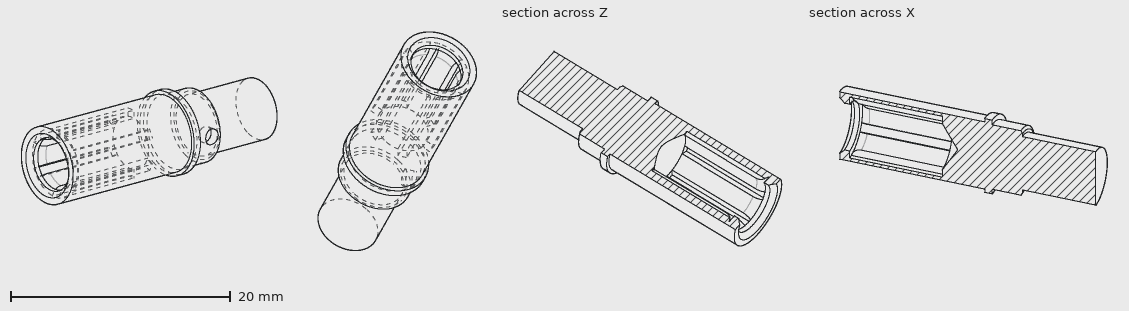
import cadquery as cq
import math


overall_length = 25.0
barrel_radius = 3.65
flange_radius = 4.0
collar_radius = 3.5
tail_radius = 2.9
flange_front = 14.15
flange_thickness = 0.75
flange_back = flange_front + flange_thickness
collar_length = 2.95
collar_back = flange_back + collar_length
collar_chamfer_axial = 0.15
collar_chamfer_radial = 0.3

mouth_radius = 3.0
mouth_chamfer = 0.5
bore_radius = mouth_radius - mouth_chamfer
lip_back = 1.0
bore_depth = 10.0
drill_point_angle = 118.0
drill_point_length = bore_radius / math.tan(math.radians(drill_point_angle / 2))

finger_count = 6
finger_pitch = 360.0 / finger_count
finger_thickness = 0.75
finger_outer_radius = bore_radius + finger_thickness
finger_tip_round = 1.0
slot_width = 0.85

side_hole_diameter = 1.5
side_hole_depth = 1.0
side_hole_position = 16.7


def outer_body():
    """Stepped solid of revolution: barrel, flange, collar and tail."""
    return (
        cq.Workplane("XY")
        .moveTo(0, 0)
        .lineTo(barrel_radius, 0)
        .lineTo(barrel_radius, flange_front)
        .lineTo(flange_radius, flange_front)
        .lineTo(flange_radius, flange_back)
        .lineTo(collar_radius, flange_back)
        .lineTo(collar_radius, collar_back - collar_chamfer_axial)
        .lineTo(collar_radius - collar_chamfer_radial, collar_back)
        .lineTo(tail_radius, collar_back)
        .lineTo(tail_radius, overall_length)
        .lineTo(0, overall_length)
        .close()
        .revolve(360, (0, 0, 0), (0, 1, 0))
    )


def socket_bore():
    """Chamfered mouth, lip, rounded finger tips, bore and drill point."""
    round_centre_y = lip_back + math.sqrt(finger_tip_round**2 - (finger_tip_round - finger_thickness) ** 2)
    round_centre_r = bore_radius + finger_tip_round
    mid_angle = (math.pi + math.acos((finger_thickness - finger_tip_round) / finger_tip_round)) / 2
    mid_r = round_centre_r + finger_tip_round * math.cos(mid_angle)
    mid_y = round_centre_y - finger_tip_round * math.sin(mid_angle)
    return (
        cq.Workplane("XY")
        .moveTo(0, 0)
        .lineTo(mouth_radius, 0)
        .lineTo(bore_radius, mouth_chamfer)
        .lineTo(bore_radius, lip_back)
        .lineTo(finger_outer_radius, lip_back)
        .threePointArc((mid_r, mid_y), (bore_radius, round_centre_y))
        .lineTo(bore_radius, bore_depth)
        .lineTo(0, bore_depth + drill_point_length)
        .close()
        .revolve(360, (0, 0, 0), (0, 1, 0))
    )


def finger_slots():
    """Lengthwise slots between the fingers, from behind the lip to the end of the bore."""
    slot_length = bore_depth - lip_back
    slot = (
        cq.Workplane("XY")
        .box(slot_width, slot_length, finger_outer_radius, centered=(True, False, False))
        .translate((0, lip_back, 0))
    )
    slots = slot
    for index in range(1, finger_count):
        slots = slots.union(slot.rotate((0, 0, 0), (0, 1, 0), index * finger_pitch))
    return slots


def side_hole():
    """Blind radial hole on the +X side of the collar."""
    return (
        cq.Workplane("YZ", origin=(collar_radius - side_hole_depth, side_hole_position, 0))
        .circle(side_hole_diameter / 2)
        .extrude(flange_radius)
    )


result = outer_body().cut(socket_bore()).cut(finger_slots()).cut(side_hole())